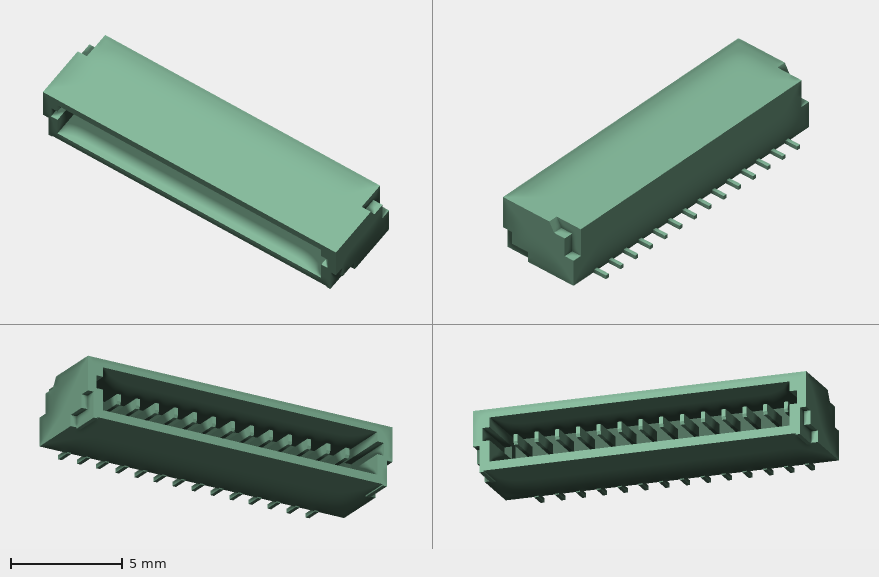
import cadquery as cq

length = 16.0
depth = 4.24
total_height = 2.96
standoff = 0.06
height = total_height - standoff

end_wall = 0.8
floor_wall = 0.4
cavity_depth = 3.36
cavity_length = length - 2 * end_wall
cavity_height = height - 2 * floor_wall

key_wall = 0.45
key_top_drop = 0.86
key_height = 0.62
key_depth = 2.88

pin_count = 14
pin_row_span = 13.0
pitch = pin_row_span / (pin_count - 1)
contact_width = 0.2
pin_height = 0.48
pin_top_drop = 0.82
pin_setback = 1.44
tip_bevel_height = 0.15
tip_bevel_depth = 0.06
lead_thickness = 0.2
lead_reach = 0.7
lead_overlap = 0.11

rear_relief_width = 0.5
rear_step_depth = 0.53
rear_step_drop = 1.49
rear_shelf_depth = 1.17
rear_shelf_drop = 0.5
rear_slope_depth = 1.45

slot_width = 0.3
tab_thickness = 0.2
slot_upright_depth = 0.55
slot_top_drop = 1.7
slot_foot_depth = 1.5
slot_foot_drop = 2.35


def block(x_min, x_max, y_min, y_max, z_min, z_max):
    size = (x_max - x_min, y_max - y_min, z_max - z_min)
    return cq.Workplane("XY").box(*size, centered=False).translate((x_min, y_min, z_min))


def side_profile(points, x_min, thickness):
    """Extrude a closed (Y, Z) outline along +X."""
    return cq.Workplane("YZ").polyline(points).close().extrude(thickness).translate((x_min, 0, 0))


def both_ends(left_shape):
    """The left-end shape together with its mirror image at the right end."""
    return left_shape.union(left_shape.mirror("YZ"))


def keyway():
    top = height - key_top_drop
    left = -length / 2
    return block(left + key_wall, left + end_wall, 0, key_depth, top - key_height, top)


def rear_relief():
    points = [
        (depth, height),
        (depth, height - rear_step_drop),
        (depth - rear_step_depth, height - rear_step_drop),
        (depth - rear_step_depth, height - rear_shelf_drop),
        (depth - rear_shelf_depth, height - rear_shelf_drop),
        (depth - rear_slope_depth, height),
    ]
    return side_profile(points, -length / 2, rear_relief_width)


def tab_shape(bottom, inset, thickness):
    """L outline of the slot and its tab, starting at the given distance from the end face."""
    points = [
        (0, bottom),
        (slot_foot_depth, bottom),
        (slot_foot_depth, height - slot_foot_drop),
        (slot_upright_depth, height - slot_foot_drop),
        (slot_upright_depth, height - slot_top_drop),
        (0, height - slot_top_drop),
    ]
    return side_profile(points, -length / 2 + inset, thickness)


def pin(x_min):
    """Contact pin with the lower edge of its tip bevelled."""
    top = height - pin_top_drop
    bottom = top - pin_height
    points = [
        (cavity_depth, top),
        (pin_setback, top),
        (pin_setback, bottom + tip_bevel_height),
        (pin_setback + tip_bevel_depth, bottom),
        (cavity_depth, bottom),
    ]
    return side_profile(points, x_min, contact_width)


def lead(x_min):
    return block(
        x_min, x_min + contact_width,
        depth - lead_overlap, depth + lead_reach,
        -standoff, -standoff + lead_thickness,
    )


housing = block(-length / 2, length / 2, 0, depth, 0, height)
cavity = block(
    -cavity_length / 2, cavity_length / 2,
    0, cavity_depth,
    floor_wall, floor_wall + cavity_height,
)
result = housing.cut(cavity)
result = result.cut(both_ends(keyway()))
result = result.cut(both_ends(rear_relief()))
result = result.cut(both_ends(tab_shape(0, 0, slot_width)))
result = result.union(both_ends(tab_shape(-standoff, slot_width, tab_thickness)))

for index in range(pin_count):
    contact_x = index * pitch - pin_row_span / 2 - contact_width / 2
    result = result.union(pin(contact_x)).union(lead(contact_x))